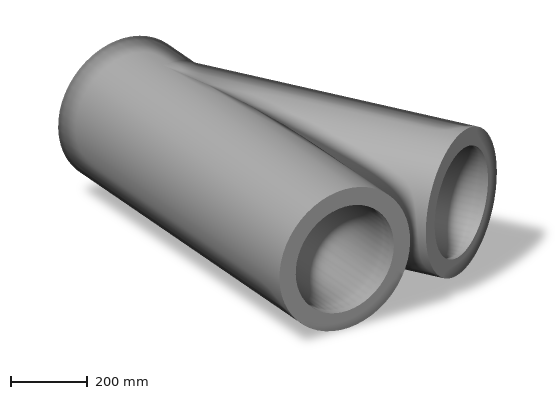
import cadquery as cq
import math

outer_diameter = 406.0
bore_diameter = 305.0

run_length = 1067.0

branch_angle = 30.0
branch_length = 876.0
branch_offset = 191.0

run_start = cq.Vector(-run_length / 2, 0, 0)
run_direction = cq.Vector(1, 0, 0)
branch_start = run_start + run_direction * branch_offset
branch_direction = cq.Vector(
    math.cos(math.radians(branch_angle)),
    math.sin(math.radians(branch_angle)),
    0,
)


def wye(diameter):
    """Solid run and branch cylinders of one diameter, joined together."""
    run = cq.Solid.makeCylinder(diameter / 2, run_length, run_start, run_direction)
    branch = cq.Solid.makeCylinder(diameter / 2, branch_length, branch_start, branch_direction)
    return cq.Workplane(run).union(cq.Workplane(branch))


result = wye(outer_diameter).cut(wye(bore_diameter))